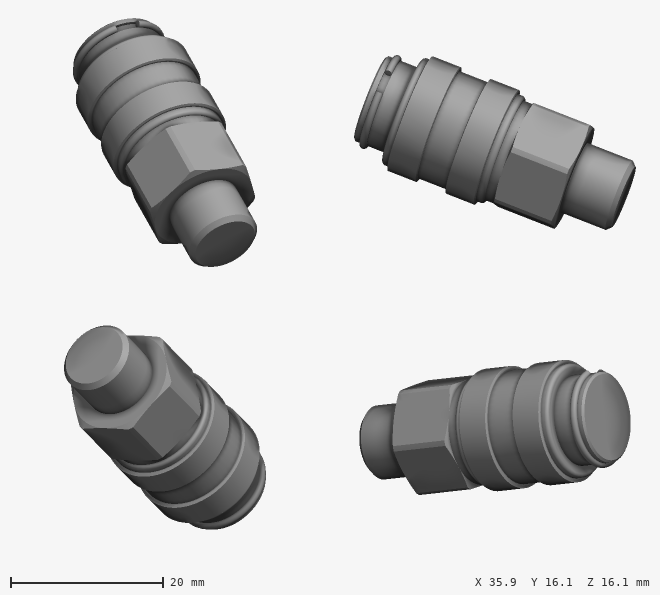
import cadquery as cq
import math

total_length = 35.85

plug_diameter = 12.0
plug_face_diameter = 11.4
plug_chamfer_length = 0.25
groove_start = 0.9
groove_width = 1.08
groove_floor_diameter = 11.15

sleeve_start = 4.55
sleeve_end = 19.05
sleeve_diameter = 15.1
sleeve_fillet = 0.5
collar_diameter = 16.15
collar_width = 4.2
collar_starts = (5.55, 13.8)
collar_chamfer_length = 0.1
collar_chamfer_depth = 0.32

neck_diameter = 14.0
hex_start = 20.3
hex_end = 28.85
hex_across_flats = 14.0
hex_corner_diameter = 15.77
hex_chamfer_length = 0.3
hex_corner_tilt = 10.5
tail_diameter = 9.8
tail_end_diameter = 8.53
tail_chamfer_length = 0.65

ring_center_diameter = 12.15
ring_wire_diameter = ring_center_diameter - groove_floor_diameter
ring_gap_start = -4.0
ring_gap_end = 26.0


def cylinder(start, end, diameter):
    return cq.Workplane("YZ", origin=(start, 0, 0)).circle(diameter / 2).extrude(end - start)


def chamfered_cylinder(start, end, diameter, end_diameter, chamfer_length):
    """Cylinder with a conical chamfer at both ends."""
    radius = diameter / 2
    end_radius = end_diameter / 2
    profile = cq.Workplane("XY").polyline([
        (start, 0),
        (start, end_radius),
        (start + chamfer_length, radius),
        (end - chamfer_length, radius),
        (end, end_radius),
        (end, 0),
    ]).close()
    return profile.revolve(360, (0, 0, 0), (1, 0, 0))


def make_plug():
    profile = cq.Workplane("XY").polyline([
        (0, 0),
        (0, plug_face_diameter / 2),
        (plug_chamfer_length, plug_diameter / 2),
        (sleeve_start, plug_diameter / 2),
        (sleeve_start, 0),
    ]).close()
    plug = profile.revolve(360, (0, 0, 0), (1, 0, 0))
    groove_end = groove_start + groove_width
    groove = cylinder(groove_start, groove_end, plug_diameter).cut(
        cylinder(groove_start, groove_end, groove_floor_diameter)
    )
    return plug.cut(groove)


def make_sleeve():
    sleeve = cylinder(sleeve_start, sleeve_end, sleeve_diameter)
    sleeve = sleeve.faces("<X or >X").edges().fillet(sleeve_fillet)
    collar_end_diameter = collar_diameter - 2 * collar_chamfer_depth
    for start in collar_starts:
        collar = chamfered_cylinder(
            start, start + collar_width, collar_diameter, collar_end_diameter, collar_chamfer_length
        )
        sleeve = sleeve.union(collar)
    return sleeve


def make_hexagon():
    """Hexagon with rounded-off corners and chamfered ends."""
    point_diameter = hex_across_flats / math.cos(math.radians(30))
    prism = cq.Workplane("YZ", origin=(hex_start, 0, 0)).polygon(6, point_diameter)
    prism = prism.extrude(hex_end - hex_start)
    prism = prism.rotate((0, 0, 0), (1, 0, 0), 90 + hex_corner_tilt)
    envelope = chamfered_cylinder(
        hex_start, hex_end, hex_corner_diameter, hex_across_flats, hex_chamfer_length
    )
    return prism.intersect(envelope)


def make_tail():
    profile = cq.Workplane("XY").polyline([
        (hex_end, 0),
        (hex_end, tail_diameter / 2),
        (total_length - tail_chamfer_length, tail_diameter / 2),
        (total_length, tail_end_diameter / 2),
        (total_length, 0),
    ]).close()
    return profile.revolve(360, (0, 0, 0), (1, 0, 0))


def make_coupling():
    neck = cylinder(sleeve_end, hex_start, neck_diameter)
    return make_plug().union(make_sleeve()).union(neck).union(make_hexagon()).union(make_tail())


def make_snap_ring():
    ring_x = groove_start + groove_width / 2
    sweep = 360 - (ring_gap_end - ring_gap_start)
    wire = cq.Workplane("XZ").center(ring_x, ring_center_diameter / 2).circle(ring_wire_diameter / 2)
    ring = wire.revolve(sweep, (0, -ring_center_diameter / 2, 0), (-1, -ring_center_diameter / 2, 0))
    return ring.rotate((0, 0, 0), (-1, 0, 0), ring_gap_end)


coupling = make_coupling()
snap_ring = make_snap_ring()

result = cq.Compound.makeCompound([coupling.val(), snap_ring.val()])